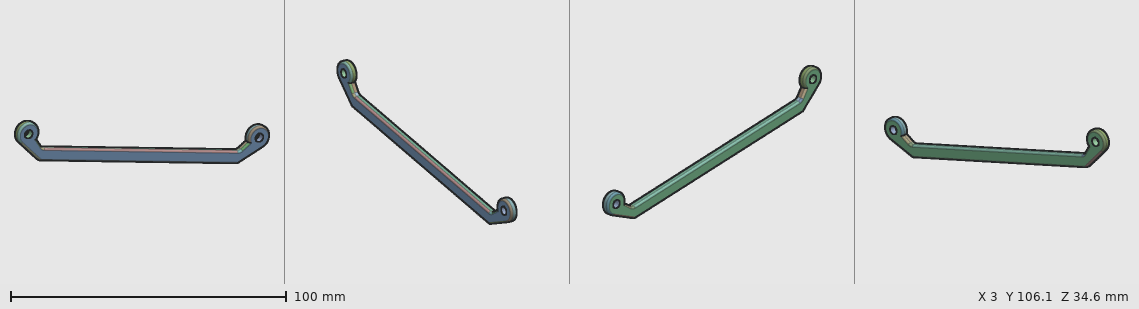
import cadquery as cq
import math

thickness = 3.0
eye_radius = 4.5
hole_diameter = 3.2
eye_spacing_y = 97.07
tilt = 12.61
strap_height = 5.0
strap_drop = 10.2
heel_offset = 7.05
throat_offset = 7.2
throat_angle = 46.0
throat_radius = 2.0
heel_radius = 1.0
edge_fillet = 0.8

eye_spacing = eye_spacing_y / math.cos(math.radians(tilt))
strap_top = strap_height - strap_drop


def tangent_point():
    """Point where the arm's lower edge, rising from the heel, touches the first eye."""
    heel_distance = math.hypot(heel_offset, strap_drop)
    heel_direction = math.atan2(-strap_drop, heel_offset)
    touch_direction = heel_direction - math.acos(eye_radius / heel_distance)
    return eye_radius * math.cos(touch_direction), eye_radius * math.sin(touch_direction)


def mirrored(point):
    """The matching point at the other end of the link."""
    return eye_spacing - point[0], point[1]


def strap_and_arms():
    """Strap with an arm rising at each end, the arms ending inside the eyes."""
    touch = tangent_point()
    heel = (heel_offset, -strap_drop)
    throat = (throat_offset, strap_top)
    arm_end = (throat_offset + strap_top / math.tan(math.radians(throat_angle)), 0)
    lower_half = [(0, 0), touch, heel]
    upper_half = [throat, arm_end]
    far_end = [mirrored(p) for p in reversed(upper_half + lower_half)]
    outline = upper_half + lower_half + far_end
    body = cq.Workplane("XY").polyline(outline).close().extrude(thickness)
    body = round_corners(body, heel, heel_radius)
    return round_corners(body, throat, throat_radius)


def round_corners(body, corner, radius):
    """Round the upright edge at a corner and its twin at the other end."""
    for x, y in (corner, mirrored(corner)):
        edge = cq.selectors.NearestToPointSelector((x, y, thickness / 2))
        body = body.edges("|Z").edges(edge).fillet(radius)
    return body


def eyes():
    return (
        cq.Workplane("XY")
        .pushPoints([(0, 0), (eye_spacing, 0)])
        .circle(eye_radius)
        .extrude(thickness)
    )


def drill_holes(body):
    return (
        body.faces(">Z")
        .workplane(origin=(0, 0, thickness))
        .pushPoints([(0, 0), (eye_spacing, 0)])
        .hole(hole_diameter)
    )


link = strap_and_arms().union(eyes()).clean()
link = link.faces("<Z or >Z").fillet(edge_fillet)
link = drill_holes(link)
link = link.translate((-eye_spacing / 2, 0, -thickness / 2))
link = link.rotate((0, 0, 0), (0, 0, 1), tilt)
link = link.rotate((0, 0, 0), (1, 0, 0), 90)
result = link.rotate((0, 0, 0), (0, 0, 1), -90)